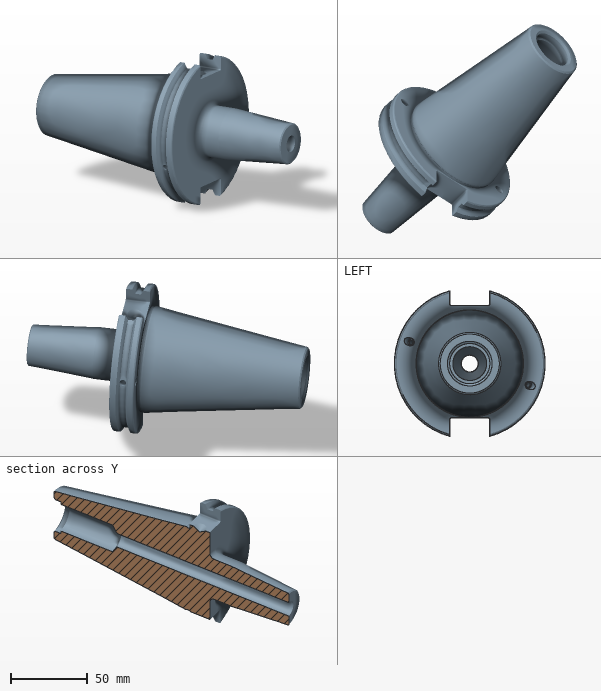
import cadquery as cq
import math

total_length = 181.6

taper_length = 101.7
gauge_diameter = 70.0
taper_ratio = 7 / 24
taper_end_chamfer = 0.9
gauge_land = 0.9
neck_diameter = 69.2
neck_chamfer = (gauge_diameter - neck_diameter) / 2

flange_start = 104.8
flange_width = 16.0
flange_diameter = 98.0
flange_edge_radius = 1.0
groove_center = 112.6
groove_floor_diameter = 91.5
groove_floor_width = 3.8
groove_flank_angle = 30.0

stem_diameter = 34.0
stem_fillet = 3.0
stem_taper_start = 137.1
stem_taper_angle = 4.5
stem_end_chamfer = 0.7

entry_diameter = 29.0
entry_chamfer_length = 1.3
counterbore_diameter = 26.2
counterbore_depth = 5.5
thread_bore_diameter = 22.0
thread_bore_depth = 45.4
through_diameter = 10.9
drill_half_angle = 59.0

slot_width = 25.8
slot_corner_radius = 0.9
upper_slot_floor = 37.8
lower_slot_floor = -35.2
mark_diameter = 9.5

coolant_angle = 20.0
coolant_entry_radius = 42.0
coolant_tilt = 38.0
coolant_counterbore_diameter = 5.0
coolant_counterbore_depth = 2.5
coolant_diameter = 3.3
plug_hole_diameter = 4.2

flange_end = flange_start + flange_width
arc_middle = 1 - math.sqrt(0.5)


def tangent(degrees):
    return math.tan(math.radians(degrees))


def revolve_about_x(profile):
    return profile.close().revolve(360, (0, 0, 0), (1, 0, 0))


def make_body():
    flange_radius = flange_diameter / 2
    groove_floor_radius = groove_floor_diameter / 2
    floor_half = groove_floor_width / 2
    mouth_half = floor_half + (flange_radius - groove_floor_radius) * tangent(groove_flank_angle)
    gauge_radius = gauge_diameter / 2
    neck_radius = neck_diameter / 2
    small_end_radius = gauge_radius - taper_length * taper_ratio / 2
    land_end = taper_length + gauge_land
    stem_radius = stem_diameter / 2
    stem_end_radius = stem_radius - (total_length - stem_taper_start) * tangent(stem_taper_angle)
    chamfer_start = total_length - stem_end_chamfer
    chamfer_radius = stem_end_radius + stem_end_chamfer * tangent(stem_taper_angle)
    arc_offset = stem_fillet * arc_middle
    edge_offset = flange_edge_radius * arc_middle

    profile = (
        cq.Workplane("XY")
        .moveTo(0, 0)
        .lineTo(0, small_end_radius - taper_end_chamfer)
        .lineTo(taper_end_chamfer, small_end_radius + taper_end_chamfer * taper_ratio / 2)
        .lineTo(taper_length, gauge_radius)
        .lineTo(land_end, gauge_radius)
        .lineTo(land_end + neck_chamfer, neck_radius)
        .lineTo(flange_start, neck_radius)
        .lineTo(flange_start, flange_radius - flange_edge_radius)
        .threePointArc(
            (flange_start + edge_offset, flange_radius - edge_offset),
            (flange_start + flange_edge_radius, flange_radius),
        )
        .lineTo(groove_center - mouth_half, flange_radius)
        .lineTo(groove_center - floor_half, groove_floor_radius)
        .lineTo(groove_center + floor_half, groove_floor_radius)
        .lineTo(groove_center + mouth_half, flange_radius)
        .lineTo(flange_end - flange_edge_radius, flange_radius)
        .threePointArc(
            (flange_end - edge_offset, flange_radius - edge_offset),
            (flange_end, flange_radius - flange_edge_radius),
        )
        .lineTo(flange_end, stem_radius + stem_fillet)
        .threePointArc(
            (flange_end + arc_offset, stem_radius + arc_offset),
            (flange_end + stem_fillet, stem_radius),
        )
        .lineTo(stem_taper_start, stem_radius)
        .lineTo(chamfer_start, chamfer_radius)
        .lineTo(total_length, stem_end_radius - stem_end_chamfer)
        .lineTo(total_length, 0)
    )
    return revolve_about_x(profile)


def make_bore():
    counterbore_radius = counterbore_diameter / 2
    thread_radius = thread_bore_diameter / 2
    through_radius = through_diameter / 2
    cone_length = (thread_radius - through_radius) / tangent(drill_half_angle)

    profile = (
        cq.Workplane("XY")
        .moveTo(0, 0)
        .lineTo(0, entry_diameter / 2)
        .lineTo(entry_chamfer_length, counterbore_radius)
        .lineTo(counterbore_depth, counterbore_radius)
        .lineTo(counterbore_depth, thread_radius)
        .lineTo(thread_bore_depth, thread_radius)
        .lineTo(thread_bore_depth + cone_length, through_radius)
        .lineTo(total_length, through_radius)
        .lineTo(total_length, 0)
    )
    return revolve_about_x(profile)


def make_slot(floor, side):
    """Slot across the flange; side is +1 above the axis and -1 below it."""
    height = flange_diameter / 2
    floor_face = "<Z" if side > 0 else ">Z"
    return (
        cq.Workplane("XY")
        .box(flange_width, slot_width, height)
        .faces(floor_face)
        .edges("|X")
        .fillet(slot_corner_radius)
        .translate((flange_start + flange_width / 2, 0, floor + side * height / 2))
    )


def make_drill_mark():
    radius = mark_diameter / 2
    depth = radius / tangent(drill_half_angle)
    return cq.Workplane(
        cq.Solid.makeCone(radius, 0, depth, cq.Vector(groove_center, 0, upper_slot_floor), cq.Vector(0, 0, -1))
    )


def make_coolant_passage():
    """Tilted stepped hole from the flange face, met by a radial plug hole from the groove."""
    entry = cq.Vector(flange_start, coolant_entry_radius, 0)
    tilt = math.radians(coolant_tilt)
    direction = cq.Vector(math.cos(tilt), -math.sin(tilt), 0)
    overrun = coolant_counterbore_diameter
    counterbore = cq.Solid.makeCylinder(
        coolant_counterbore_diameter / 2,
        coolant_counterbore_depth + overrun,
        entry - direction * overrun,
        direction,
    )
    meeting_depth = groove_center - flange_start
    meeting_radius = coolant_entry_radius - meeting_depth * math.tan(tilt)
    drilling = cq.Solid.makeCylinder(
        coolant_diameter / 2, meeting_depth / math.cos(tilt), entry, direction
    )
    plug_hole = cq.Solid.makeCylinder(
        plug_hole_diameter / 2,
        flange_diameter / 2 - meeting_radius,
        cq.Vector(groove_center, meeting_radius, 0),
        cq.Vector(0, 1, 0),
    )
    return cq.Workplane(counterbore).union(cq.Workplane(drilling)).union(cq.Workplane(plug_hole))


result = make_body().cut(make_bore())
result = result.cut(make_slot(upper_slot_floor, 1)).cut(make_slot(lower_slot_floor, -1))
result = result.cut(make_drill_mark())
for half_turn in (0, 180):
    passage = make_coolant_passage().rotate((0, 0, 0), (1, 0, 0), coolant_angle + half_turn)
    result = result.cut(passage)